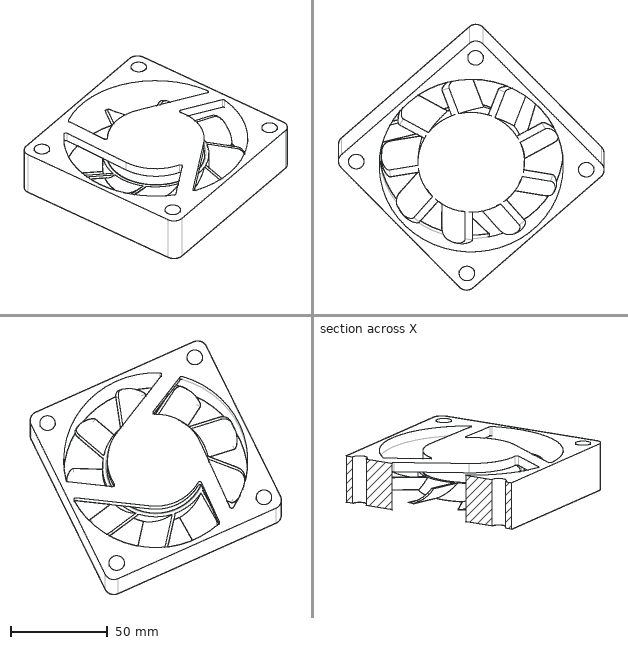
import cadquery as cq
import math

SIDE = 100.0
HEIGHT = 25.0
CORNER_RADIUS = 5.0
BORE_RADIUS = 47.5
MOUNT_HOLE_DIAMETER = 8.0
MOUNT_HOLE_SPACING = 84.0

PLATE_THICKNESS = 5.0
MOUNT_RADIUS = 25.0
SPOKE_COUNT = 3
SPOKE_WIDTH = 8.2
SPOKE_TILT = -1.7
WINDOW_CORNER_RADIUS = 1.0

ROTOR_BOTTOM = 5.0
ROTOR_HEIGHT = 10.0
HUB_RADIUS = 27.5
RECESS_RADIUS = 25.3
RECESS_DEPTH = 0.7
RIM_FILLET = 0.6
TIP_RADIUS = 46.4
TIP_ROUNDING = 4.0

BLADE_COUNT = 9
BLADE_ANGLE = -97.0
BLADE_THICKNESS = 1.2
BLADE_BOTTOM_OFFSET = -0.8
BLADE_TOP_OFFSET = 13.7
BLADE_ARC_RADIUS = 25.0
BLADE_ROOT_RADIUS = 15.0


def polar(radius, degrees):
    angle = math.radians(degrees)
    return (radius * math.cos(angle), radius * math.sin(angle))


def spoke_edge_angle(edge_offset, radius):
    """Angle at which a spoke edge, edge_offset from the axis, crosses a circle."""
    return SPOKE_TILT - 180 + math.degrees(math.asin(edge_offset / radius))


def make_window():
    """Opening between the -X spoke and the next spoke, counterclockwise from it."""
    spoke_pitch = 360 / SPOKE_COUNT
    inner_offset = MOUNT_RADIUS - SPOKE_WIDTH
    tangent_angle = spoke_edge_angle(MOUNT_RADIUS, MOUNT_RADIUS)
    start_angle = spoke_edge_angle(MOUNT_RADIUS, BORE_RADIUS)
    end_angle = spoke_edge_angle(inner_offset, BORE_RADIUS) + spoke_pitch
    hub_end_angle = spoke_edge_angle(inner_offset, MOUNT_RADIUS) + spoke_pitch
    outline = (
        cq.Workplane("XY")
        .workplane(offset=HEIGHT - PLATE_THICKNESS)
        .moveTo(*polar(MOUNT_RADIUS, tangent_angle))
        .lineTo(*polar(BORE_RADIUS, start_angle))
        .threePointArc(
            polar(BORE_RADIUS, (start_angle + end_angle) / 2),
            polar(BORE_RADIUS, end_angle),
        )
        .lineTo(*polar(MOUNT_RADIUS, hub_end_angle))
        .threePointArc(
            polar(MOUNT_RADIUS, (hub_end_angle + tangent_angle) / 2),
            polar(MOUNT_RADIUS, tangent_angle),
        )
        .close()
    )
    window = outline.extrude(PLATE_THICKNESS)
    mid_height = HEIGHT - PLATE_THICKNESS / 2
    sharp_corners = (
        polar(BORE_RADIUS, start_angle),
        polar(BORE_RADIUS, end_angle),
        polar(MOUNT_RADIUS, hub_end_angle),
    )
    for x, y in sharp_corners:
        corner_edge = cq.selectors.NearestToPointSelector((x, y, mid_height))
        window = window.edges("|Z").edges(corner_edge).fillet(WINDOW_CORNER_RADIUS)
    return window


def make_housing():
    housing = (
        cq.Workplane("XY")
        .rect(SIDE, SIDE)
        .extrude(HEIGHT)
        .edges("|Z")
        .fillet(CORNER_RADIUS)
    )
    bore = cq.Workplane("XY").circle(BORE_RADIUS).extrude(HEIGHT - PLATE_THICKNESS)
    mount_holes = (
        cq.Workplane("XY")
        .rect(MOUNT_HOLE_SPACING, MOUNT_HOLE_SPACING, forConstruction=True)
        .vertices()
        .circle(MOUNT_HOLE_DIAMETER / 2)
        .extrude(HEIGHT)
    )
    housing = housing.cut(bore).cut(mount_holes)
    window = make_window()
    for index in range(SPOKE_COUNT):
        turn = index * 360 / SPOKE_COUNT
        housing = housing.cut(window.rotate((0, 0, 0), (0, 0, 1), turn))
    return housing


def make_hub():
    hub = cq.Workplane("XY").circle(HUB_RADIUS).extrude(ROTOR_HEIGHT)
    hub = hub.faces(">Z").workplane().circle(RECESS_RADIUS).cutBlind(-RECESS_DEPTH)
    rim_edge = cq.selectors.RadiusNthSelector(0)
    return hub.faces(">Z").edges(rim_edge).fillet(RIM_FILLET)


def make_blade():
    """Curved blade along +X: concave side up, cut level with the hub top and bottom."""
    span = BLADE_TOP_OFFSET - BLADE_BOTTOM_OFFSET
    chord = math.hypot(span, ROTOR_HEIGHT)
    to_center = math.sqrt(BLADE_ARC_RADIUS**2 - (chord / 2) ** 2)
    center_y = (BLADE_TOP_OFFSET + BLADE_BOTTOM_OFFSET) / 2 - to_center * ROTOR_HEIGHT / chord
    center_z = ROTOR_HEIGHT / 2 + to_center * span / chord
    outer_radius = BLADE_ARC_RADIUS + BLADE_THICKNESS
    shell = (
        cq.Workplane("YZ")
        .workplane(offset=BLADE_ROOT_RADIUS)
        .center(center_y, center_z)
        .circle(outer_radius)
        .circle(BLADE_ARC_RADIUS)
        .extrude(TIP_RADIUS - BLADE_ROOT_RADIUS)
    )
    strip = (
        cq.Workplane("XY")
        .moveTo(BLADE_ROOT_RADIUS, BLADE_BOTTOM_OFFSET)
        .rect(TIP_RADIUS, outer_radius, centered=False)
        .extrude(ROTOR_HEIGHT)
    )
    envelope = (
        cq.Workplane("XY")
        .circle(TIP_RADIUS)
        .extrude(ROTOR_HEIGHT)
        .edges()
        .fillet(TIP_ROUNDING)
    )
    clearance = cq.Workplane("XY").circle(RECESS_RADIUS + RIM_FILLET).extrude(ROTOR_HEIGHT)
    return shell.intersect(strip).intersect(envelope).cut(clearance)


def make_rotor():
    rotor = make_hub()
    blade = make_blade()
    for index in range(BLADE_COUNT):
        direction = BLADE_ANGLE + index * 360 / BLADE_COUNT
        rotor = rotor.union(blade.rotate((0, 0, 0), (0, 0, 1), direction))
    return rotor.translate((0, 0, ROTOR_BOTTOM))


housing = make_housing()
rotor = make_rotor()
result = cq.Compound.makeCompound([housing.val(), rotor.val()])